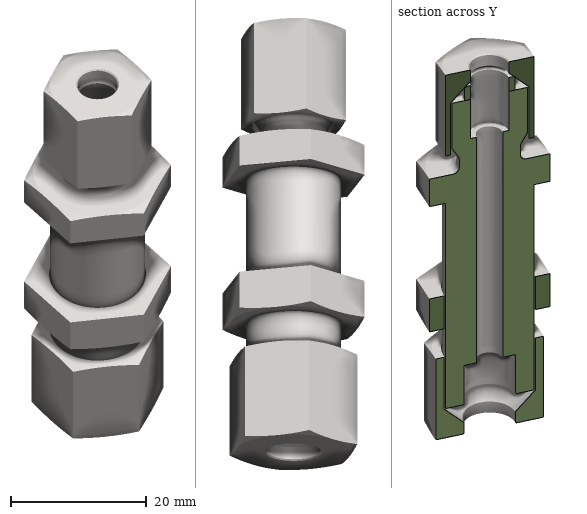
import cadquery as cq
import math

total_length = 65.0
nut_length = 14.55
stem_gap = 5.0
locknut_height = 6.0
flange_bottom = 42.0
flange_height = 5.0
locknut_bottom = nut_length + stem_gap
flange_top = flange_bottom + flange_height
upper_nut_bottom = total_length - nut_length

flange_flats = 19.0
locknut_flats = 19.0
upper_nut_flats = 14.0
lower_nut_flats = 17.0
chamfer_angle = math.radians(15)

stem_diameter = 14.0
spigot_diameter = 12.0
thread_clearance = 0.3
neck_diameter = 9.7
neck_fillet = 1.0
neck_cone_angle = math.radians(30)
neck_arc_top = 49.85
through_diameter = 4.0

upper_tube_diameter = 6.0
lower_tube_diameter = 8.0
tube_bore_length = 2.1
tube_bore_chamfer = 0.2

upper_seat_height = (spigot_diameter + thread_clearance - upper_tube_diameter) / 2
lower_seat_height = (stem_diameter + thread_clearance - lower_tube_diameter) / 2
body_top = total_length - tube_bore_length - upper_seat_height
body_bottom = tube_bore_length + lower_seat_height
tube_socket_depth = 7.0

ring_diameter = 8.0
ring_gap = 0.7


def cylinder(diameter, bottom, top):
    return cq.Workplane("XY").workplane(offset=bottom).circle(diameter / 2).extrude(top - bottom)


def revolved(outline):
    """Solid turned about Z from a closed outline of (radius, height) points."""
    return cq.Workplane("XZ").polyline(outline).close().revolve(360, (0, 0, 0), (0, 1, 0))


def hexagon(flats, bottom, height, chamfer_bottom=False, chamfer_top=False):
    """Hexagonal prism whose chosen ends are turned to a cone at the corners."""
    corner_radius = flats / math.sqrt(3)
    flat_radius = flats / 2
    top = bottom + height
    drop = (corner_radius - flat_radius) * math.tan(chamfer_angle)
    prism = (
        cq.Workplane("XY").workplane(offset=bottom)
        .polygon(6, 2 * corner_radius).extrude(height)
        .rotate((0, 0, 0), (0, 0, 1), 30)
    )
    outline = [(0, bottom)]
    if chamfer_bottom:
        outline += [(flat_radius, bottom), (corner_radius, bottom + drop)]
    else:
        outline += [(corner_radius, bottom)]
    if chamfer_top:
        outline += [(corner_radius, top - drop), (flat_radius, top)]
    else:
        outline += [(corner_radius, top)]
    outline += [(0, top)]
    return prism.intersect(revolved(outline))


def make_spigot():
    """Necked upper end: fillet at the flange, waist, arc and cone out to the spigot."""
    neck_radius = neck_diameter / 2
    spigot_radius = spigot_diameter / 2
    half_turn = neck_cone_angle / 2
    arc_start = neck_arc_top - neck_fillet * math.sin(neck_cone_angle)
    cone_start_radius = neck_radius + neck_fillet * (1 - math.cos(neck_cone_angle))
    arc_middle = (
        neck_radius + neck_fillet * (1 - math.cos(half_turn)),
        arc_start + neck_fillet * math.sin(half_turn),
    )
    cone_top = neck_arc_top + (spigot_radius - cone_start_radius) / math.tan(neck_cone_angle)
    fillet_middle = (
        neck_radius + neck_fillet * (1 - math.sqrt(0.5)),
        flange_top + neck_fillet * (1 - math.sqrt(0.5)),
    )
    return (
        cq.Workplane("XZ")
        .moveTo(0, flange_top)
        .lineTo(neck_radius + neck_fillet, flange_top)
        .threePointArc(fillet_middle, (neck_radius, flange_top + neck_fillet))
        .lineTo(neck_radius, arc_start)
        .threePointArc(arc_middle, (cone_start_radius, neck_arc_top))
        .lineTo(spigot_radius, cone_top)
        .lineTo(spigot_radius, body_top)
        .lineTo(0, body_top)
        .close()
        .revolve(360, (0, 0, 0), (0, 1, 0))
    )


def make_fitting_body():
    """Stem, hexagonal flange and spigot in one piece, bored through, with a tube socket at each end."""
    stem = cylinder(stem_diameter, body_bottom, flange_bottom)
    flange = hexagon(flange_flats, flange_bottom, flange_height, chamfer_top=True)
    bore = cylinder(through_diameter, 0, total_length)
    upper_socket = cylinder(upper_tube_diameter, body_top - tube_socket_depth, body_top)
    lower_socket = cylinder(lower_tube_diameter, body_bottom, body_bottom + tube_socket_depth)
    body = stem.union(flange).union(make_spigot())
    return body.cut(bore).cut(upper_socket).cut(lower_socket)


def make_locknut():
    blank = hexagon(locknut_flats, locknut_bottom, locknut_height, chamfer_bottom=True)
    bore_diameter = stem_diameter + thread_clearance
    bore = cylinder(bore_diameter, locknut_bottom, locknut_bottom + locknut_height)
    return blank.cut(bore)


def make_union_nut(flats, tube_diameter, thread_diameter):
    """Union nut standing with its tube bore at the top, from Z = 0 to nut_length."""
    blank = hexagon(flats, 0, nut_length, chamfer_bottom=True, chamfer_top=True)
    tube_radius = tube_diameter / 2
    thread_radius = (thread_diameter + thread_clearance) / 2
    seat_top = nut_length - tube_bore_length
    seat_bottom = seat_top - (thread_radius - tube_radius)
    bore_outline = [
        (0, 0),
        (thread_radius, 0),
        (thread_radius, seat_bottom),
        (tube_radius, seat_top),
        (tube_radius, nut_length - tube_bore_chamfer),
        (tube_radius + tube_bore_chamfer, nut_length),
        (0, nut_length),
    ]
    return blank.cut(revolved(bore_outline))


def make_upper_nut():
    nut = make_union_nut(upper_nut_flats, upper_tube_diameter, spigot_diameter)
    return nut.translate((0, 0, upper_nut_bottom))


def make_lower_nut():
    nut = make_union_nut(lower_nut_flats, lower_tube_diameter, stem_diameter)
    return nut.rotate((0, 0, 0), (1, 0, 0), 180).translate((0, 0, nut_length))


def make_clamping_ring():
    """Ring on the end of the fitting body, bevelled to bear on the upper nut's seat."""
    bore_radius = upper_tube_diameter / 2
    outer_radius = ring_diameter / 2
    ring_top = total_length - tube_bore_length - ring_gap
    bevel_start = bore_radius + ring_gap
    bevel_drop = outer_radius - bevel_start
    return revolved([
        (bore_radius, body_top),
        (outer_radius, body_top),
        (outer_radius, ring_top - bevel_drop),
        (bevel_start, ring_top),
        (bore_radius, ring_top),
    ])


fitting_body = make_fitting_body()
locknut = make_locknut()
upper_nut = make_upper_nut()
lower_nut = make_lower_nut()
clamping_ring = make_clamping_ring()

result = cq.Compound.makeCompound(
    [fitting_body.val(), locknut.val(), upper_nut.val(), lower_nut.val(), clamping_ring.val()]
)